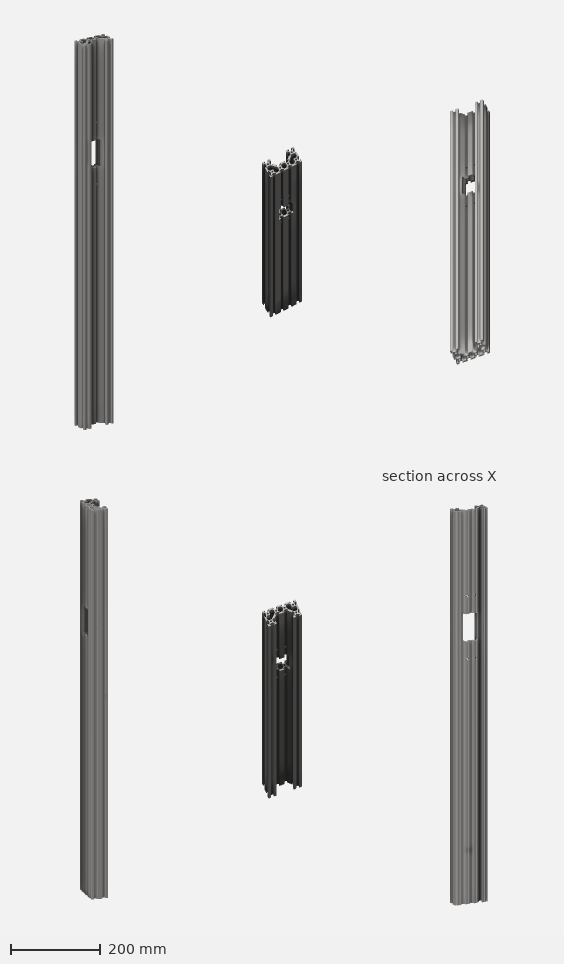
import cadquery as cq

module = 20.0
length = 914.0
width_x = 2 * module
width_y = 4 * module
corner_radius = 2.0

mouth_width = 9.0
throat_width = 6.0
lip_depth = 2.0
pocket_width = 12.0
pocket_depth = 3.2
floor_width = 3.3
floor_depth = 5.85
core_bore = 5.0

wall = 3.75
strut = 1.4
hollow_taper = 3.2

window_height = 64.0
window_width = 37.0
window_z = 642.0
screw_hole = 5.5
screw_hole_offset = 73.0

inner_row = module / 2
outer_row = 3 * module / 2
half_y = width_y / 2
hollow_half_depth = inner_row - wall
hollow_half_gap = floor_depth


def bar(outline):
    """Closed XY outline extruded over the full length."""
    return cq.Workplane("XY").polyline(outline).close().extrude(length)


def channel_blank():
    """C-shaped bar with its open side toward +X and bevelled inside corners."""
    bevel = (module - mouth_width) / 2
    upper = [
        (0, half_y),
        (width_x, half_y),
        (width_x, half_y - module),
        (module + bevel, half_y - module),
        (module, half_y - module - bevel),
    ]
    lower = [(x, -y) for x, y in reversed(upper)]
    return bar(upper + lower).edges("|Z and (<X or >X)").fillet(corner_radius)


def slot_cutter(x, y, direction):
    """V-slot with its face centre at (x, y), cutting inward along the angle in degrees."""
    v_depth = (mouth_width - throat_width) / 2
    side = [
        (0, mouth_width / 2),
        (v_depth, throat_width / 2),
        (lip_depth, throat_width / 2),
        (lip_depth, pocket_width / 2),
        (pocket_depth, pocket_width / 2),
        (floor_depth, floor_width / 2),
    ]
    mirrored = [(depth, -across) for depth, across in reversed(side)]
    cutter = bar(side + mirrored)
    return cutter.rotate((0, 0, 0), (0, 0, 1), direction).translate((x, y, 0))


def all_slots():
    """Every slot of the bar, as one cutter per slot."""
    slots = [slot_cutter(0, y, 0) for y in (-outer_row, -inner_row, inner_row, outer_row)]
    for side in (-1, 1):
        slots.append(slot_cutter(module, side * inner_row, 180))
        slots.append(slot_cutter(width_x, side * outer_row, 180))
        slots.append(slot_cutter(inner_row, side * half_y, -90 * side))
        slots.append(slot_cutter(outer_row, side * half_y, -90 * side))
        slots.append(slot_cutter(outer_row, side * module, 90 * side))
    return slots


def middle_hollow():
    """Eight-sided hollow between the two middle cores of the back wall."""
    right = [
        (hollow_half_depth - hollow_taper, -hollow_half_gap),
        (hollow_half_depth, hollow_taper - hollow_half_gap),
        (hollow_half_depth, hollow_half_gap - hollow_taper),
        (hollow_half_depth - hollow_taper, hollow_half_gap),
    ]
    left = [(-x, y) for x, y in reversed(right)]
    return bar(right + left).translate((inner_row, 0, 0))


def corner_hollow(side):
    """Bent hollow wrapping around the inner side of a corner core.

    It is laid out by distances u and v from the two outer faces of the corner
    and is symmetric about the line u = v.
    """
    start = module - hollow_half_gap
    end = module + hollow_half_gap
    pocket_corner_sum = outer_row - pocket_width / 2 + module - pocket_depth
    slant_sum = pocket_corner_sum - strut * 2**0.5
    leg = [
        (start, wall + hollow_taper),
        (start + hollow_taper, wall),
        (end - hollow_taper, wall),
        (end, wall + hollow_taper),
        (end, slant_sum - end),
    ]
    other_leg = [(v, u) for u, v in reversed(leg)]
    outline = [(start, start)] + leg + other_leg
    return bar([(u, side * (half_y - v)) for u, v in outline])


def core_bores():
    centres = [(inner_row, y) for y in (-outer_row, -inner_row, inner_row, outer_row)]
    centres += [(outer_row, y) for y in (-outer_row, outer_row)]
    return cq.Workplane("XY").pushPoints(centres).circle(core_bore / 2).extrude(length)


def window():
    """Opening through the back wall and the bevels beside it."""
    profile = cq.Workplane("YZ").center(0, window_z).rect(window_width, window_height)
    return profile.extrude(width_x)


def screw_holes():
    """Holes along the two middle slots, above and below the window."""
    centres = [
        (y, window_z + dz)
        for y in (-inner_row, inner_row)
        for dz in (-screw_hole_offset, screw_hole_offset)
    ]
    return cq.Workplane("YZ").pushPoints(centres).circle(screw_hole / 2).extrude(module)


result = channel_blank()
for slot in all_slots():
    result = result.cut(slot)
for corner_side in (-1, 1):
    result = result.cut(corner_hollow(corner_side))
result = result.cut(middle_hollow())
result = result.cut(core_bores())
result = result.cut(window())
result = result.cut(screw_holes())